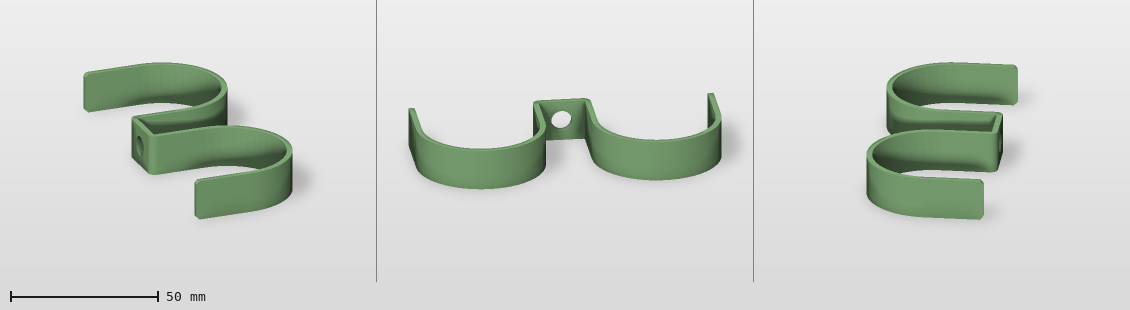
import cadquery as cq

length = 104.0
strip_width = 14.0
thickness = 2.0
outer_radius = 22.0
leg_length = 20.0
bend_outer_radius = 2.5
hole_diameter = 7.0
tip_chamfer = 1.0

inner_radius = outer_radius - thickness
arch_x = length / 2 - outer_radius
web_half_length = arch_x - inner_radius
bend_inner_radius = bend_outer_radius - thickness


def hoop(side):
    """One arch with its two straight legs; the legs end at Y = 0."""
    def arch_profile(radius):
        return (
            cq.Workplane("XY", origin=(side * arch_x, 0, 0))
            .moveTo(-radius, 0)
            .lineTo(-radius, leg_length)
            .threePointArc((0, leg_length + radius), (radius, leg_length))
            .lineTo(radius, 0)
            .close()
            .extrude(strip_width)
        )

    return arch_profile(outer_radius).cut(arch_profile(inner_radius))


def web():
    """Flat strip joining the two inner legs."""
    return cq.Workplane("XY").box(
        2 * web_half_length, thickness, strip_width, centered=(True, False, False)
    )


def round_bends(body):
    """Round both sides of the folds where the web meets the inner legs."""
    inside_x = web_half_length - thickness
    for side in (-1, 1):
        body = body.edges(
            cq.selectors.NearestToPointSelector((side * web_half_length, 0, strip_width / 2))
        ).fillet(bend_outer_radius)
        body = body.edges(
            cq.selectors.NearestToPointSelector((side * inside_x, thickness, strip_width / 2))
        ).fillet(bend_inner_radius)
    return body


def chamfer_tips(body):
    """Cut the top and bottom corners off the free ends of the outer legs."""
    for side in (-1, 1):
        tip_x = side * (length - thickness) / 2
        for z in (0, strip_width):
            body = body.edges(
                cq.selectors.NearestToPointSelector((tip_x, 0, z))
            ).chamfer(tip_chamfer)
    return body


mounting_hole = (
    cq.Workplane("XZ", origin=(0, 0, strip_width / 2))
    .circle(hole_diameter / 2)
    .extrude(-thickness)
)

body = hoop(-1).union(hoop(1)).union(web())
result = chamfer_tips(round_bends(body)).cut(mounting_hole)